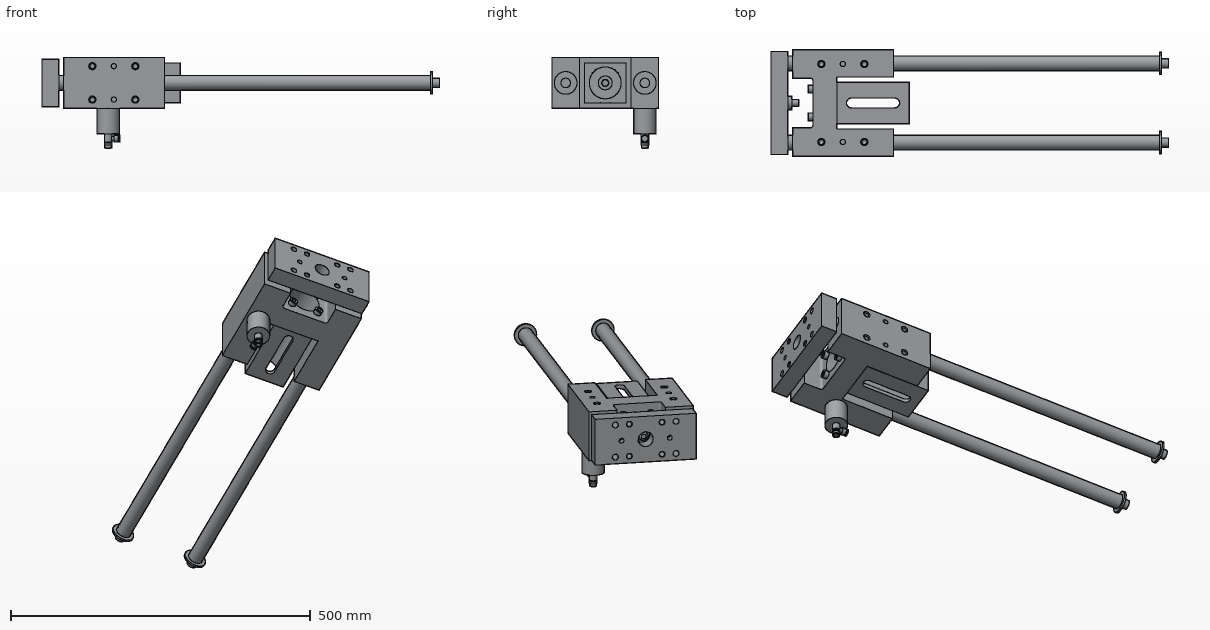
import cadquery as cq
import math


TOTAL_LENGTH = 664.0
TOTAL_HEIGHT = 152.0
DRILL_POINT_ANGLE = 120.0

PLATE_THICKNESS = 28.5
PLATE_WIDTH = 172.5
PLATE_HEIGHT = 80.0
ROD_DIAMETER = 25.0
ROD_SPACING = 132.0
END_WASHER_DIAMETER = 38.0
END_WASHER_THICKNESS = 3.0
END_HEAD_DIAMETER = 16.0
END_HEAD_LENGTH = 12.0
PLATE_HOLE_ROW = 28.0
CLEARANCE_HOLE_DIAMETER = 10.0
CLEARANCE_HOLE_Y = 52.0
PLATE_THREAD_DIAMETER = 8.5
PLATE_THREAD_RIM_DIAMETER = 10.0
PLATE_THREAD_Y = 28.0
PLATE_DOWEL_DIAMETER = 8.0
PLATE_DOWEL_DEPTH = 16.0
PLATE_DOWEL_Y = 41.0
COUPLING_RECESS_DIAMETER = 25.0
COUPLING_RECESS_DEPTH = 26.5
COUPLING_HEAD_DIAMETER = 16.0
COUPLING_HEAD_HEIGHT = 10.0
COUPLING_HEAD_CHAMFER = 4.0
COUPLING_DISC_DIAMETER = 23.0
COUPLING_DISC_THICKNESS = 6.5
COUPLING_STEM_DIAMETER = 12.0
COUPLING_STEM_LENGTH = 12.0
COUPLING_STEM_CHAMFER = 0.5

HOUSING_START = 36.5
HOUSING_LENGTH = 168.5
HOUSING_WIDTH = 178.0
HOUSING_HEIGHT = 85.0
FRONT_NOTCH_END = 70.5
FRONT_NOTCH_WIDTH = 82.5
FRONT_NOTCH_FILLET = 4.5
REAR_NOTCH_START = 110.0
REAR_NOTCH_WIDTH = 86.0
BLOCK_END = 231.0
BLOCK_WIDTH = 70.0
BLOCK_HEIGHT = 66.5
SLOT_LENGTH = 88.0
SLOT_WIDTH = 16.0
SLOT_CENTER_X = 170.5
BORE_DIAMETER = 53.0
CAP_SCREW_DIAMETER = 13.0
CAP_SCREW_HEIGHT = 8.0
CAP_SCREW_SOCKET_DIAMETER = 6.5
CAP_SCREW_SOCKET_DEPTH = 4.0
CAP_SCREW_OFFSET = 23.0
MOUNT_HOLE_CENTER_X = 120.0
MOUNT_HOLE_PITCH = 36.0
MOUNT_HOLE_DIAMETER = 8.5
MOUNT_HOLE_RIM_DIAMETER = 12.0
MOUNT_HOLE_DEPTH = 24.0
MOUNT_HOLE_Y = 65.0
MOUNT_HOLE_Z = 28.0
MOUNT_DOWEL_DIAMETER = 8.5
MOUNT_DOWEL_DEPTH = 16.0

LOCK_X = 111.0
LOCK_DIAMETER = 38.0
LOCK_BOTTOM = -85.0
FITTING_DIAMETER = 13.0
FITTING_BODY_LENGTH = 13.0
FITTING_GROOVE_DIAMETER = 11.0
FITTING_GROOVE_LENGTH = 2.0
FITTING_RING_LENGTH = 3.0
FITTING_COLLAR_DIAMETER = 12.0
FITTING_COLLAR_LENGTH = 4.5
FITTING_TIP_DIAMETER = 8.0
PORT_DIAMETER = 12.0
PORT_START = 10.0
PORT_REACH = 20.0
PORT_NECK_DIAMETER = 8.5
PORT_DROP = 8.0
PORT_GROOVE_DIAMETER = 10.0
PORT_GROOVE_START = 16.5
PORT_GROOVE_LENGTH = 1.0

ROD_Y = (-ROD_SPACING / 2, ROD_SPACING / 2)
HOUSING_END = HOUSING_START + HOUSING_LENGTH
LOCK_Y = ROD_SPACING / 2
FITTING_BOTTOM = HOUSING_HEIGHT / 2 - TOTAL_HEIGHT
PORT_Z = LOCK_BOTTOM - PORT_DROP

INTO_X = (1, 0, 0)
INTO_Y = (0, 1, 0)
DOWN = (0, 0, -1)


def cylinder(diameter, length, start, direction):
    """Round bar that starts at a point and runs along a direction."""
    return cq.Workplane(cq.Solid.makeCylinder(diameter / 2, length, cq.Vector(*start), cq.Vector(*direction)))


def x_bar(diameter, x_start, x_end, y=0, z=0):
    """Round bar along X."""
    return cylinder(diameter, x_end - x_start, (x_start, y, z), INTO_X)


def box(x_start, x_end, width, height):
    """Box that is centred on Y and Z."""
    middle = ((x_start + x_end) / 2, 0, 0)
    return cq.Workplane("XY").box(x_end - x_start, width, height).translate(middle)


def rim_chamfer(hole_diameter, rim_diameter, start, direction):
    """45 degree cone that widens the mouth of a hole."""
    rim_radius = rim_diameter / 2
    hole_radius = hole_diameter / 2
    depth = rim_radius - hole_radius
    cone = cq.Solid.makeCone(rim_radius, hole_radius, depth, cq.Vector(*start), cq.Vector(*direction))
    return cq.Workplane(cone)


def tapped_hole(start, direction):
    """Blind drilled hole with a chamfered rim and a conical drill point."""
    radius = MOUNT_HOLE_DIAMETER / 2
    point_length = radius / math.tan(math.radians(DRILL_POINT_ANGLE / 2))
    floor = cq.Vector(*start) + cq.Vector(*direction) * MOUNT_HOLE_DEPTH
    point = cq.Workplane(cq.Solid.makeCone(radius, 0, point_length, floor, cq.Vector(*direction)))
    rim = rim_chamfer(MOUNT_HOLE_DIAMETER, MOUNT_HOLE_RIM_DIAMETER, start, direction)
    return cylinder(MOUNT_HOLE_DIAMETER, MOUNT_HOLE_DEPTH, start, direction).union(point).union(rim)


def mount_hole_row(y, z, direction):
    """Two tapped holes with a dowel hole midway between them, in a row along X."""
    row = cylinder(MOUNT_DOWEL_DIAMETER, MOUNT_DOWEL_DEPTH, (MOUNT_HOLE_CENTER_X, y, z), direction)
    for side in (-1, 1):
        row = row.union(tapped_hole((MOUNT_HOLE_CENTER_X + side * MOUNT_HOLE_PITCH, y, z), direction))
    return row


def make_housing_block():
    """H-shaped block with the slotted cylinder block behind its web."""
    block = box(HOUSING_START, HOUSING_END, HOUSING_WIDTH, HOUSING_HEIGHT)
    front_notch = box(0, FRONT_NOTCH_END, FRONT_NOTCH_WIDTH, HOUSING_HEIGHT)
    front_notch = front_notch.edges("|Z and >X").fillet(FRONT_NOTCH_FILLET)
    rear_notch = box(REAR_NOTCH_START, HOUSING_END, REAR_NOTCH_WIDTH, HOUSING_HEIGHT)
    cylinder_block = box(REAR_NOTCH_START, BLOCK_END, BLOCK_WIDTH, BLOCK_HEIGHT)
    slot = (
        cq.Workplane("XY")
        .center(SLOT_CENTER_X, 0)
        .slot2D(SLOT_LENGTH, SLOT_WIDTH)
        .extrude(BLOCK_HEIGHT / 2, both=True)
    )
    bore = x_bar(BORE_DIAMETER, FRONT_NOTCH_END, BLOCK_END)
    return block.cut(front_notch).cut(rear_notch).union(cylinder_block).cut(slot).cut(bore)


def make_cap_screw_head(y, z):
    """Socket head on the back wall of the front notch."""
    head_start = FRONT_NOTCH_END - CAP_SCREW_HEIGHT
    head = x_bar(CAP_SCREW_DIAMETER, head_start, FRONT_NOTCH_END, y, z)
    socket = x_bar(CAP_SCREW_SOCKET_DIAMETER, head_start, head_start + CAP_SCREW_SOCKET_DEPTH, y, z)
    return head.cut(socket)


def make_port():
    """Side port of the air fitting: a neck, then a nozzle with a groove near its end."""
    groove_end = PORT_GROOVE_START + PORT_GROOVE_LENGTH
    neck = x_bar(PORT_NECK_DIAMETER, LOCK_X, LOCK_X + PORT_START, LOCK_Y, PORT_Z)
    nozzle = x_bar(PORT_DIAMETER, LOCK_X + PORT_START, LOCK_X + PORT_GROOVE_START, LOCK_Y, PORT_Z)
    groove = x_bar(PORT_GROOVE_DIAMETER, LOCK_X + PORT_GROOVE_START, LOCK_X + groove_end, LOCK_Y, PORT_Z)
    lip = x_bar(PORT_DIAMETER, LOCK_X + groove_end, LOCK_X + PORT_REACH, LOCK_Y, PORT_Z)
    return neck.union(nozzle).union(groove).union(lip)


def make_lock_unit():
    """Lock cylinder under the housing, ending in an air fitting with a side port."""
    lock_height = -HOUSING_HEIGHT / 2 - LOCK_BOTTOM
    unit = cylinder(LOCK_DIAMETER, lock_height, (LOCK_X, LOCK_Y, -HOUSING_HEIGHT / 2), DOWN)
    fitting_sections = (
        (FITTING_DIAMETER, FITTING_BODY_LENGTH),
        (FITTING_GROOVE_DIAMETER, FITTING_GROOVE_LENGTH),
        (FITTING_DIAMETER, FITTING_RING_LENGTH),
        (FITTING_COLLAR_DIAMETER, FITTING_COLLAR_LENGTH),
    )
    z = LOCK_BOTTOM
    for diameter, length in fitting_sections:
        unit = unit.union(cylinder(diameter, length, (LOCK_X, LOCK_Y, z), DOWN))
        z -= length
    tip = cylinder(FITTING_TIP_DIAMETER, z - FITTING_BOTTOM, (LOCK_X, LOCK_Y, z), DOWN)
    return unit.union(tip).union(make_port())


def make_housing():
    housing = make_housing_block()
    for y in ROD_Y:
        housing = housing.cut(x_bar(ROD_DIAMETER, HOUSING_START, HOUSING_END, y))
    for side in (-1, 1):
        top_row = mount_hole_row(side * MOUNT_HOLE_Y, HOUSING_HEIGHT / 2, DOWN)
        side_row = mount_hole_row(-HOUSING_WIDTH / 2, side * MOUNT_HOLE_Z, INTO_Y)
        housing = housing.cut(top_row).cut(side_row)
    for y in (-CAP_SCREW_OFFSET, CAP_SCREW_OFFSET):
        for z in (-CAP_SCREW_OFFSET, CAP_SCREW_OFFSET):
            housing = housing.union(make_cap_screw_head(y, z))
    return housing.union(make_lock_unit())


def make_plate():
    """Front plate with its hole pattern and the recess for the coupling screw."""
    plate = box(0, PLATE_THICKNESS, PLATE_WIDTH, PLATE_HEIGHT)
    for y_side in (-1, 1):
        plate = plate.cut(x_bar(PLATE_DOWEL_DIAMETER, 0, PLATE_DOWEL_DEPTH, y_side * PLATE_DOWEL_Y))
        for z in (-PLATE_HOLE_ROW, PLATE_HOLE_ROW):
            clearance_y = y_side * CLEARANCE_HOLE_Y
            thread_y = y_side * PLATE_THREAD_Y
            thread_mouth = (0, thread_y, z)
            plate = plate.cut(x_bar(CLEARANCE_HOLE_DIAMETER, 0, PLATE_THICKNESS, clearance_y, z))
            plate = plate.cut(x_bar(PLATE_THREAD_DIAMETER, 0, PLATE_THICKNESS, thread_y, z))
            plate = plate.cut(
                rim_chamfer(PLATE_THREAD_DIAMETER, PLATE_THREAD_RIM_DIAMETER, thread_mouth, INTO_X)
            )
    return plate.cut(x_bar(COUPLING_RECESS_DIAMETER, 0, COUPLING_RECESS_DEPTH))


def make_coupling():
    """Screw head inside the plate recess, with its disc and stem behind the plate."""
    head_start = COUPLING_RECESS_DEPTH - COUPLING_HEAD_HEIGHT
    disc_end = PLATE_THICKNESS + COUPLING_DISC_THICKNESS
    head = x_bar(COUPLING_HEAD_DIAMETER, head_start, COUPLING_RECESS_DEPTH)
    head = head.faces("<X").edges().chamfer(COUPLING_HEAD_CHAMFER)
    disc = x_bar(COUPLING_DISC_DIAMETER, PLATE_THICKNESS, disc_end)
    stem = x_bar(COUPLING_STEM_DIAMETER, disc_end, disc_end + COUPLING_STEM_LENGTH)
    stem = stem.faces(">X").edges().chamfer(COUPLING_STEM_CHAMFER)
    return head, disc.union(stem)


def make_rod(y):
    """Guide rod with a stop washer and a bolt head at its free end."""
    washer_end = TOTAL_LENGTH - END_HEAD_LENGTH
    rod_end = washer_end - END_WASHER_THICKNESS
    rod = x_bar(ROD_DIAMETER, PLATE_THICKNESS, rod_end, y)
    washer = x_bar(END_WASHER_DIAMETER, rod_end, washer_end, y)
    head = x_bar(END_HEAD_DIAMETER, washer_end, TOTAL_LENGTH, y)
    return rod.union(washer).union(head)


def make_slide():
    slide = make_plate()
    for coupling_section in make_coupling():
        slide = slide.union(coupling_section)
    for y in ROD_Y:
        slide = slide.union(make_rod(y))
    return slide


housing = make_housing()
slide = make_slide()

result = cq.Compound.makeCompound([housing.solids().val(), slide.solids().val()])